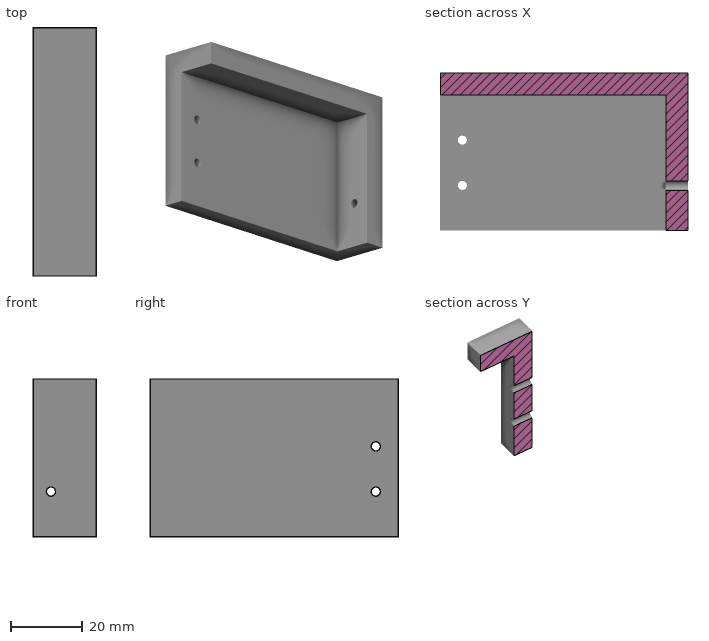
import cadquery as cq

width = 17.8
length = 69.85
height = 44.4

wall = 6.35
hole_diameter = 2.5
hole_pitch = 2 * wall
end_hole_inset = 5.0
recess_depth = width - wall


def corner_block(size_x, size_y, size_z):
    """Box with its lowest corner at the origin."""
    return cq.Workplane("XY").box(size_x, size_y, size_z, centered=False)


body = corner_block(width, length, height)

recess = corner_block(recess_depth, length - wall, height - wall).translate((0, wall, 0))
body = body.cut(recess)

web_holes = (
    cq.Workplane("YZ")
    .pushPoints([(length - wall, row * hole_pitch) for row in (1, 2)])
    .circle(hole_diameter / 2)
    .extrude(width)
)

end_hole = (
    cq.Workplane("XZ")
    .center(end_hole_inset, hole_pitch)
    .circle(hole_diameter / 2)
    .extrude(-wall)
)

result = body.cut(web_holes).cut(end_hole)